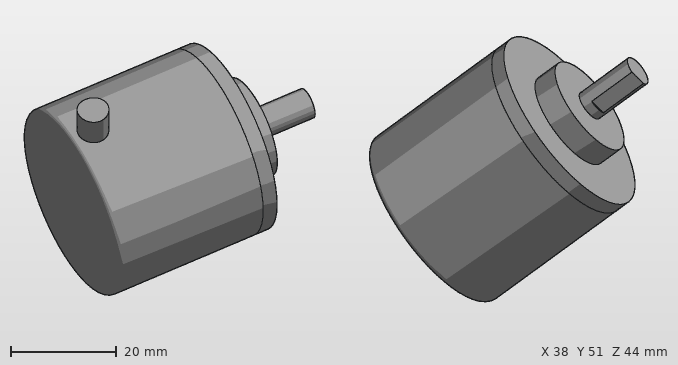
import cadquery as cq


housing_diameter = 38.0
housing_length = 31.0
rear_edge_radius = 1.0
flange_thickness = 3.0

boss_diameter = 20.0
boss_length = 5.0

shaft_diameter = 6.0
shaft_length = 12.0
round_length = 2.0
flat_distance = 2.5

cable_diameter = 6.0
cable_from_rear = 4.8
cable_height = 6.0

flange_start = housing_length
boss_start = flange_start + flange_thickness
shaft_start = boss_start + boss_length


def cylinder_along_y(diameter, start, length):
    """Solid cylinder on the housing axis, running toward +Y from start."""
    return (
        cq.Workplane("XZ", origin=(0, start, 0))
        .circle(diameter / 2)
        .extrude(-length)
    )


def make_housing():
    """Plain can with a rounded rear edge."""
    can = cylinder_along_y(housing_diameter, 0, housing_length)
    return can.faces("<Y").edges().fillet(rear_edge_radius).solids()


def make_flange():
    """Disc closing the shaft end of the housing, flush with its side."""
    return cylinder_along_y(housing_diameter, flange_start, flange_thickness)


def make_boss():
    """Smaller disc in front of the flange."""
    return cylinder_along_y(boss_diameter, boss_start, boss_length)


def make_shaft():
    """Round shaft with a flat cut along its underside, up to the free end."""
    shaft = cylinder_along_y(shaft_diameter, shaft_start, shaft_length)
    flat_cut = cq.Workplane("XY").box(
        shaft_diameter,
        shaft_length - round_length,
        shaft_diameter,
        centered=(True, False, False),
    ).translate((0, shaft_start + round_length, -flat_distance - shaft_diameter))
    return shaft.cut(flat_cut).solids()


def make_cable():
    """Upright stub whose seat and rounded end both follow the housing curve."""
    stub = (
        cq.Workplane("XY", origin=(0, cable_from_rear, 0))
        .circle(cable_diameter / 2)
        .extrude(housing_diameter / 2 + cable_height)
    )
    seat = cylinder_along_y(housing_diameter, 0, housing_length)
    end_surface = seat.translate((0, 0, cable_height))
    return stub.cut(seat).intersect(end_surface).solids()


housing = make_housing()
flange = make_flange()
boss = make_boss()
shaft = make_shaft()
cable = make_cable()

result = cq.Compound.makeCompound(
    [housing.val(), flange.val(), boss.val(), shaft.val(), cable.val()]
)